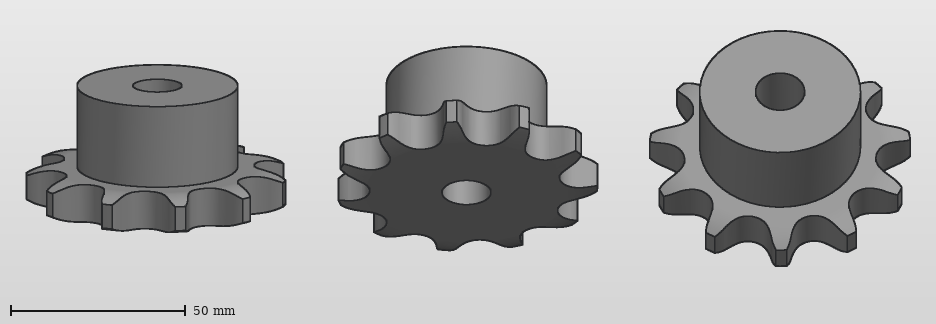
import cadquery as cq
import math

TOOTH_COUNT = 11
CHAIN_PITCH = 19.0
ROLLER_DIAMETER = 12.1
TIP_DIAMETER = 75.0
PLATE_THICKNESS = 11.1

TOTAL_HEIGHT = 35.0
HUB_DIAMETER = 46.0
BORE_DIAMETER = 14.0

TIP_SIDE_RELIEF = 2.0
SIDE_RADIUS = CHAIN_PITCH

SEAT_RADIUS = 0.5025 * ROLLER_DIAMETER
WORKING_CENTRE_OFFSET = 0.8 * ROLLER_DIAMETER
WORKING_RADIUS = WORKING_CENTRE_OFFSET + SEAT_RADIUS
TOPPING_CENTRE_OFFSET = 1.4 * ROLLER_DIAMETER

SEAT_END_ANGLE = math.radians(35 + 60 / TOOTH_COUNT)
WORKING_SWEEP = math.radians(18 - 56 / TOOTH_COUNT)
HALF_TOOTH_ANGLE = math.pi / TOOTH_COUNT

PITCH_RADIUS = CHAIN_PITCH / 2 / math.sin(HALF_TOOTH_ANGLE)
TIP_RADIUS = TIP_DIAMETER / 2


def offset(point, distance, angle):
    """Point at a distance and direction from another point."""
    return (point[0] + distance * math.cos(angle), point[1] + distance * math.sin(angle))


def mirrored(point):
    """Point reflected across the centre line of the tooth gap."""
    return (-point[0], point[1])


def tip_corner(centre, radius):
    """Crossing of the topping arc with the tip circle on the side facing the gap."""
    centre_distance = math.hypot(*centre)
    cosine = (TIP_RADIUS**2 + centre_distance**2 - radius**2) / (2 * TIP_RADIUS * centre_distance)
    angle = math.atan2(centre[1], centre[0]) + math.acos(cosine)
    return (TIP_RADIUS * math.cos(angle), TIP_RADIUS * math.sin(angle))


def tooth_gap():
    """Cutter for the gap centred on +Y: seat, working arcs, short flats and topping arcs."""
    roller_centre = (0, PITCH_RADIUS)
    seat_bottom = (0, PITCH_RADIUS - SEAT_RADIUS)
    seat_end = offset(roller_centre, SEAT_RADIUS, -SEAT_END_ANGLE)

    working_centre = offset(roller_centre, -WORKING_CENTRE_OFFSET, -SEAT_END_ANGLE)
    working_middle = offset(working_centre, WORKING_RADIUS, WORKING_SWEEP / 2 - SEAT_END_ANGLE)
    flank_normal = WORKING_SWEEP - SEAT_END_ANGLE
    working_end = offset(working_centre, WORKING_RADIUS, flank_normal)

    topping_centre = offset(roller_centre, TOPPING_CENTRE_OFFSET, -HALF_TOOTH_ANGLE)
    reach_x = topping_centre[0] - working_end[0]
    reach_y = topping_centre[1] - working_end[1]
    topping_radius = reach_x * math.cos(flank_normal) + reach_y * math.sin(flank_normal)
    flat_end = offset(topping_centre, -topping_radius, flank_normal)
    corner = tip_corner(topping_centre, topping_radius)
    corner_angle = math.atan2(corner[1] - topping_centre[1], corner[0] - topping_centre[0])
    flat_end_angle = flank_normal + math.pi
    topping_middle = offset(topping_centre, topping_radius, (corner_angle + flat_end_angle) / 2)

    outside = (corner[0], TIP_DIAMETER)

    return (
        cq.Workplane("XY")
        .moveTo(*outside)
        .lineTo(*corner)
        .threePointArc(topping_middle, flat_end)
        .lineTo(*working_end)
        .threePointArc(working_middle, seat_end)
        .threePointArc(seat_bottom, mirrored(seat_end))
        .threePointArc(mirrored(working_middle), mirrored(working_end))
        .lineTo(*mirrored(flat_end))
        .threePointArc(mirrored(topping_middle), mirrored(corner))
        .lineTo(*mirrored(outside))
        .close()
        .extrude(PLATE_THICKNESS)
    )


def blank():
    """Round plate with both rims curved down to the tooth tips, tangent to the plate faces."""
    relief_width = math.sqrt(SIDE_RADIUS**2 - (SIDE_RADIUS - TIP_SIDE_RELIEF) ** 2)
    flat_radius = TIP_RADIUS - relief_width
    middle_angle = math.asin(relief_width / SIDE_RADIUS) / 2
    middle_radius = flat_radius + SIDE_RADIUS * math.sin(middle_angle)
    middle_relief = SIDE_RADIUS * (1 - math.cos(middle_angle))
    lower_middle = (middle_radius, middle_relief)
    upper_middle = (middle_radius, PLATE_THICKNESS - middle_relief)

    return (
        cq.Workplane("XZ")
        .lineTo(flat_radius, 0)
        .threePointArc(lower_middle, (TIP_RADIUS, TIP_SIDE_RELIEF))
        .lineTo(TIP_RADIUS, PLATE_THICKNESS - TIP_SIDE_RELIEF)
        .threePointArc(upper_middle, (flat_radius, PLATE_THICKNESS))
        .lineTo(0, PLATE_THICKNESS)
        .close()
        .revolve(360, (0, 0, 0), (0, 1, 0))
    )


def toothed_plate():
    """Blank with one gap cut on +Y and the rest spaced evenly around it."""
    plate = blank()
    gap = tooth_gap()
    for index in range(TOOTH_COUNT):
        plate = plate.cut(gap.rotate((0, 0, 0), (0, 0, 1), index * 360 / TOOTH_COUNT))
    return plate


hub = cq.Workplane("XY").circle(HUB_DIAMETER / 2).extrude(TOTAL_HEIGHT)
bore = cq.Workplane("XY").circle(BORE_DIAMETER / 2).extrude(TOTAL_HEIGHT)

result = toothed_plate().union(hub).cut(bore)